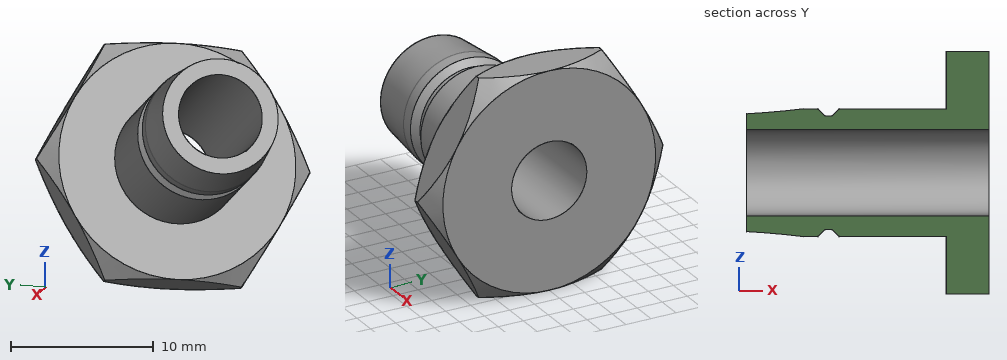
import cadquery as cq
import math

corner_diameter = 19.63
flat_width = corner_diameter * math.cos(math.radians(30))
length = 17.0
head_thickness = 3.0
bore_diameter = 6.0

shank_radius = 4.5
tip_radius = 4.15
groove_radius = 4.0
taper_length = 4.0
groove_start = 5.0
groove_flank = 0.5
groove_floor = 0.51

head_start = length - head_thickness
floor_start = groove_start + groove_flank
floor_end = floor_start + groove_floor
groove_end = floor_end + groove_flank


def revolve_about_x(profile):
    return profile.close().revolve(360, (0, 0, 0), (1, 0, 0))


def make_spigot():
    """Tapered nose, snap groove and plain shank running up to the head."""
    profile = (
        cq.Workplane("XY")
        .lineTo(0, tip_radius)
        .lineTo(taper_length, shank_radius)
        .lineTo(groove_start, shank_radius)
        .lineTo(floor_start, groove_radius)
        .lineTo(floor_end, groove_radius)
        .lineTo(groove_end, shank_radius)
        .lineTo(head_start, shank_radius)
        .lineTo(head_start, 0)
    )
    return revolve_about_x(profile)


def make_head():
    """Hexagon with corners on Y, trimmed by 45 degree cones at both faces."""
    hexagon = (
        cq.Workplane("YZ", origin=(head_start, 0, 0))
        .polygon(6, corner_diameter)
        .extrude(head_thickness)
    )
    face_radius = flat_width / 2
    cone_rise = head_thickness / 2
    envelope = revolve_about_x(
        cq.Workplane("XY")
        .moveTo(head_start, 0)
        .lineTo(head_start, face_radius)
        .lineTo(head_start + cone_rise, face_radius + cone_rise)
        .lineTo(length, face_radius)
        .lineTo(length, 0)
    )
    return hexagon.intersect(envelope)


bore = cq.Workplane("YZ").circle(bore_diameter / 2).extrude(length)
result = make_spigot().union(make_head()).cut(bore)